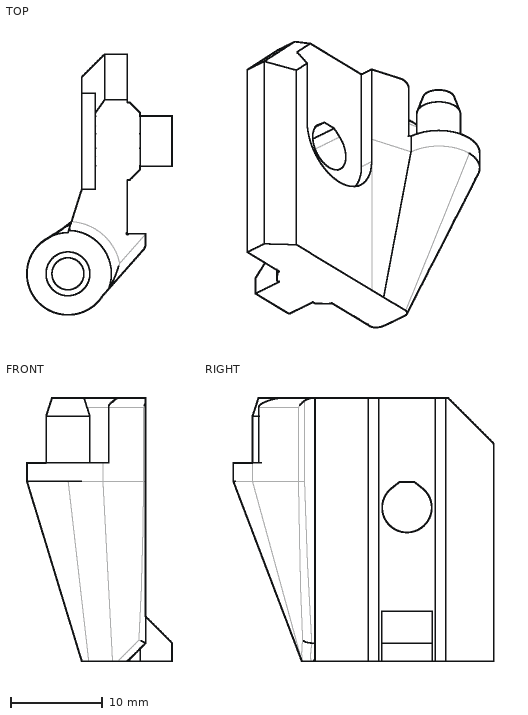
import cadquery as cq
import math

height = 28.8
plate_thickness = 5.0
plate_length = 14.75
corner_cut = 5.0
edge_chamfer = 2.5

hole_y = -9.5
hole_z = height - 12.0
pocket_radius = 5.25
pocket_depth = 1.5
hole_radius = 2.7
hole_roof_height = 2.8
hole_roof_half_width = 0.8

rib_x = 6.4
rib_half_width = 4.25
rib_chamfer = 1.15
foot_x = 9.9
foot_width = 5.5
foot_edge_height = 2.0

pin_x = -1.5
pin_y = -24.0
pin_radius = 2.4
pin_tip_radius = 1.75
pin_tip_height = 2.0
collar_radius = 4.5
collar_top = height - 7.1
collar_bottom = height - 9.1
clearance_radius = 4.75

arm_end_x = 7.0
arm_back_y = -19.6
arm_end_y = -21.1
arm_join_x = 2.3
arm_base_join_x = 3.35
arm_base_side_y = -16.7
base_front_y = -21.0
arm_base_end_y = -20.7
base_corner_radius = 0.75
arm_fillet = 1.0
relief_radius = 0.1

arm_join_y = pin_y - math.sqrt(collar_radius**2 - (arm_join_x - pin_x) ** 2)
collar_start = (pin_x, pin_y + collar_radius)
collar_end = (arm_join_x, arm_join_y)


def collar_point(angle):
    """Point on the collar circle, angle in degrees from +X."""
    turn = math.radians(angle)
    return (pin_x + collar_radius * math.cos(turn), pin_y + collar_radius * math.sin(turn))


def make_plate():
    """Plate with a cut upper corner, chamfered all along its outer pocket-side edge."""
    plate = (
        cq.Workplane("YZ")
        .moveTo(-plate_length, 0)
        .lineTo(0, 0)
        .lineTo(0, height - corner_cut)
        .lineTo(-corner_cut, height)
        .lineTo(-plate_length, height)
        .close()
        .extrude(plate_thickness)
    )
    end_edge = cq.selectors.NearestToPointSelector((0, 0, height / 2))
    corner_edge = cq.selectors.NearestToPointSelector((0, -corner_cut / 2, height - corner_cut / 2))
    return plate.edges(cq.selectors.SumSelector(end_edge, corner_edge)).chamfer(edge_chamfer)


def make_rib():
    """Full-height rib with chamfered outer edges."""
    neck_x = rib_x - rib_chamfer
    crest_half_width = rib_half_width - rib_chamfer
    return (
        cq.Workplane("XY")
        .moveTo(plate_thickness, hole_y - rib_half_width)
        .lineTo(neck_x, hole_y - rib_half_width)
        .lineTo(rib_x, hole_y - crest_half_width)
        .lineTo(rib_x, hole_y + crest_half_width)
        .lineTo(neck_x, hole_y + rib_half_width)
        .lineTo(plate_thickness, hole_y + rib_half_width)
        .close()
        .extrude(height)
    )


def make_foot():
    """Foot at the base of the rib, with a 45 degree upper face."""
    return (
        cq.Workplane("XZ", origin=(0, hole_y + foot_width / 2, 0))
        .moveTo(plate_thickness, 0)
        .lineTo(foot_x, 0)
        .lineTo(foot_x, foot_edge_height)
        .lineTo(plate_thickness, foot_edge_height + foot_x - plate_thickness)
        .close()
        .extrude(foot_width)
    )


def make_arm():
    """Arm from the plate to the pin: straight beside the collar, tapering below it."""
    overhang = arm_end_x - plate_thickness
    back = [
        (arm_end_x, -plate_length),
        (0, -plate_length),
    ]
    upper_outline = back + [collar_start, collar_end, (arm_end_x, arm_end_y)]
    base_outline = back + [
        (0, arm_base_side_y),
        (arm_base_join_x, base_front_y),
        (arm_end_x, arm_base_end_y),
    ]
    upper = (
        cq.Workplane("XY", origin=(0, 0, collar_bottom))
        .polyline(upper_outline)
        .close()
        .extrude(height - collar_bottom)
    )
    lower = (
        cq.Workplane("XY")
        .polyline(base_outline)
        .close()
        .workplane(offset=collar_bottom)
        .polyline(upper_outline)
        .close()
        .loft(ruled=True)
    )
    underside = (
        cq.Workplane("XZ", origin=(0, -plate_length, 0))
        .moveTo(plate_thickness, 0)
        .lineTo(arm_end_x, overhang)
        .lineTo(arm_end_x, 0)
        .close()
        .extrude(-plate_length - arm_end_y)
    )
    behind = (
        cq.Workplane("XY", origin=(plate_thickness, arm_back_y, 0))
        .rect(overhang, -plate_length - arm_back_y, centered=False)
        .extrude(height)
    )
    relief = cq.Workplane("XY").center(plate_thickness, arm_back_y).circle(relief_radius).extrude(height)
    blank = upper.union(lower).cut(underside)
    return round_front(blank).cut(behind).cut(relief)


def round_front(arm):
    """Round the front face of the arm along its top, its outer end and its underside."""
    edge_points = [
        ((arm_join_x + arm_end_x) / 2, (arm_join_y + arm_end_y) / 2, height),
        (arm_end_x, arm_end_y, (height + collar_bottom) / 2),
        (arm_end_x, (arm_end_y + arm_base_end_y) / 2, collar_bottom / 2),
        ((arm_end_x + plate_thickness) / 2, arm_base_end_y, (arm_end_x - plate_thickness) / 2),
    ]
    selector = cq.selectors.NearestToPointSelector(edge_points[0])
    for point in edge_points[1:]:
        selector = cq.selectors.SumSelector(selector, cq.selectors.NearestToPointSelector(point))
    return arm.edges(selector).fillet(arm_fillet)


def make_cone():
    """Blend from the collar circle down to the rounded corner of the base."""
    join_angle = math.degrees(math.atan2(arm_join_y - pin_y, arm_join_x - pin_x))
    side_middle = collar_point(135)
    corner_start = collar_point(180)
    corner_middle = collar_point(225)
    corner_end = collar_point(270)
    front_middle = collar_point((join_angle - 90) / 2)
    radius = base_corner_radius
    offset = radius * (1 - math.cos(math.radians(45)))
    return (
        cq.Workplane("XY")
        .moveTo(0, arm_base_side_y)
        .lineTo(0, base_front_y + radius)
        .threePointArc((offset, base_front_y + offset), (radius, base_front_y))
        .lineTo(arm_base_join_x, base_front_y)
        .close()
        .workplane(offset=collar_bottom)
        .moveTo(*collar_start)
        .threePointArc(side_middle, corner_start)
        .threePointArc(corner_middle, corner_end)
        .threePointArc(front_middle, collar_end)
        .close()
        .loft(ruled=True)
    )


def make_clearance():
    """Cylindrical cut round the pin, flared at its upper rim."""
    rim_radius = clearance_radius + arm_fillet
    flare = arm_fillet * (1 - math.cos(math.radians(45)))
    return (
        cq.Workplane("XZ")
        .moveTo(0, collar_top)
        .lineTo(clearance_radius, collar_top)
        .lineTo(clearance_radius, height - arm_fillet)
        .threePointArc((clearance_radius + flare, height - flare), (rim_radius, height))
        .lineTo(0, height)
        .close()
        .revolve(360, (0, 0, 0), (0, 1, 0))
        .translate((pin_x, pin_y, 0))
    )


def make_pin():
    """Collar carrying a pin with a tapered tip."""
    return (
        cq.Workplane("XZ")
        .moveTo(0, collar_bottom)
        .lineTo(collar_radius, collar_bottom)
        .lineTo(collar_radius, collar_top)
        .lineTo(pin_radius, collar_top)
        .lineTo(pin_radius, height - pin_tip_height)
        .lineTo(pin_tip_radius, height)
        .lineTo(0, height)
        .close()
        .revolve(360, (0, 0, 0), (0, 1, 0))
        .translate((pin_x, pin_y, 0))
    )


def make_pocket():
    """Round-bottomed pocket, open at the top of the plate."""
    return (
        cq.Workplane("YZ")
        .moveTo(hole_y - pocket_radius, height)
        .lineTo(hole_y - pocket_radius, hole_z)
        .threePointArc((hole_y, hole_z - pocket_radius), (hole_y + pocket_radius, hole_z))
        .lineTo(hole_y + pocket_radius, height)
        .close()
        .extrude(pocket_depth)
    )


def make_hole():
    """Through hole with a flat-topped roof whose sides are tangent to the circle."""
    corner_angle = math.atan2(hole_roof_height, hole_roof_half_width)
    corner_distance = math.hypot(hole_roof_height, hole_roof_half_width)
    tangent_angle = corner_angle - math.acos(hole_radius / corner_distance)
    tangent_y = hole_radius * math.cos(tangent_angle)
    tangent_z = hole_radius * math.sin(tangent_angle)
    return (
        cq.Workplane("YZ", origin=(0, hole_y, hole_z))
        .moveTo(-tangent_y, tangent_z)
        .threePointArc((0, -hole_radius), (tangent_y, tangent_z))
        .lineTo(hole_roof_half_width, hole_roof_height)
        .lineTo(-hole_roof_half_width, hole_roof_height)
        .close()
        .extrude(foot_x)
    )


result = (
    make_plate()
    .union(make_rib())
    .union(make_foot())
    .union(make_arm())
    .cut(make_clearance())
    .union(make_cone())
    .union(make_pin())
    .cut(make_pocket())
    .cut(make_hole())
)